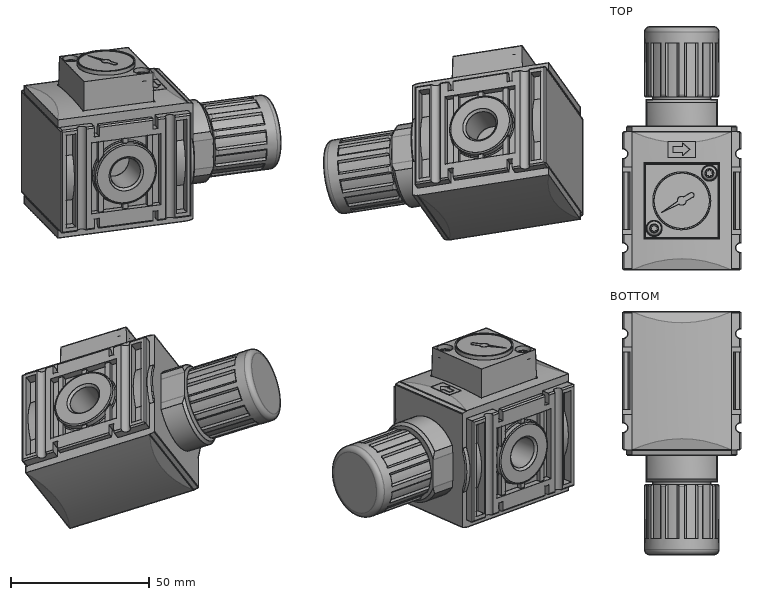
import cadquery as cq
import math


front_y = -25.0
flange_rear_y = 25.0
rear_y = 27.0
core_half_width = 18.0
crown_z = 24.08
crown_rise = 1.08
end_slope = math.tan(math.radians(15))
barrel_dia = 40.0
barrel_chamfer = 0.4
core_rear_chamfer = 0.2
seam_width = 0.3
seam_depth = 0.15
side_z = crown_z - crown_rise
slope_run = crown_rise / end_slope

label_length = 9.9
label_rear_y = 21.5
label_front_y = 15.7
label_relief = 0.1
arrow_tail_x = -3.15
arrow_neck_x = 0.3
arrow_tip_x = 2.9
arrow_shaft_half = 1.1
arrow_head_half = 2.3

flange_x = 21.5
flange_half_height = 20.0
flange_chamfer = 0.55
front_chamfer = 0.5
groove_radius = 1.75
groove_axis_y = 17.0
groove_axis_inset = 0.2
groove_axis_x = flange_x - groove_axis_inset
side_slot_inner_y = 19.4
rear_slot_outer_y = 23.3
front_slot_outer_y = 23.05
side_slot_half_height = 18.05
notch_inner_y = 10.35
notch_outer_y = 12.25
notch_floor_z = 16.0
gap_top_x = 19.4
gap_floor_x = 18.67

window_half_width = 13.3
window_half_height = 13.8
window_floor_x = 19.0
rib_top_x = 20.8
rib_inner_y = 8.5
rib_outer_y = 10.4
middle_rib_width = 1.9
port_boss_dia = 23.5
port_face_dia = 22.4
port_foot_dia = 24.4
port_face_chamfer = 0.3
port_foot_height = 0.35
port_bore_dia = 11.45
port_mouth_dia = 13.2
port_depth = 13.0

collar_dia = 30.2
collar_end_y = 36.6
collar_across_flats = 25.8
collar_chamfer = 1.05
collar_flat_half = 5.45
corner_flat_tilt = 6.0

knob_dia = 27.0
knob_start_y = 37.5
knob_end_y = 63.0
knob_neck_dia = 21.0
knob_end_fillet = 2.0
knob_start_fillet = 0.8
grip_count = 12
grip_end_y = 57.1
grip_floor_dia = 25.6
grip_rib_half_angle = 4.2
grip_floor_half_angle = 7.4

gauge_seat_z = 20.0
gauge_top_z = 34.5
gauge_seat_side = 27.0
gauge_top_side = 26.4
gauge_pocket_length_x = 27.4
gauge_pocket_length_y = 27.6
dial_dia = 21.0
dial_face_dia = 20.0
dial_top_z = 36.0
dial_recess = 0.25
needle_height = 0.1
needle_angle = 30.0
needle_hub_radius = 1.6
needle_length = 8.5
needle_root_half = 0.7
needle_tail_radius = 0.9
needle_tail_length = 4.1
screw_offset = 10.0
screw_hole_dia = 5.8
screw_hole_depth = 3.0
screw_head_dia = 5.3
screw_head_flat_dia = 3.2
screw_rim_height = 0.4
screw_head_height = 1.9
socket_core_dia = 2.0
socket_lobe_dia = 0.7
socket_lobe_count = 6
socket_depth = 1.0


def block(x_range, y_range, z_range):
    """Box given by its lower and upper limits along the three axes."""
    limits = (x_range, y_range, z_range)
    sizes = [high - low for low, high in limits]
    corner = cq.Vector(*[low for low, high in limits])
    return cq.Workplane(cq.Solid.makeBox(*sizes, pnt=corner))


def y_cylinder(diameter, start_y, end_y):
    """Cylinder on the adjusting axis."""
    axis = cq.Vector(0, 1, 0)
    return cq.Workplane(cq.Solid.makeCylinder(diameter / 2, end_y - start_y, cq.Vector(0, start_y, 0), axis))


def both_sides(body):
    """The body together with its mirror image across the YZ plane."""
    return body.union(body.mirror("YZ"))


def above_and_below(body):
    """The body together with its mirror image across the XY plane."""
    return body.union(body.mirror("XY"))


def housing_core():
    """Block with crowned top and bottom whose ends slope down, plus the inner barrel."""
    crowned = (
        cq.Workplane("XZ", origin=(0, rear_y, 0))
        .moveTo(-core_half_width, -side_z)
        .threePointArc((0, -crown_z), (core_half_width, -side_z))
        .lineTo(core_half_width, side_z)
        .threePointArc((0, crown_z), (-core_half_width, side_z))
        .close()
        .extrude(rear_y - front_y)
    )
    label_pad = block(
        (-label_length / 2, label_length / 2), (label_front_y, label_rear_y), (side_z, crown_z)
    )
    rear_z = side_z - (rear_y - flange_rear_y) * end_slope
    upper = [
        (front_y, side_z),
        (front_y + slope_run, crown_z),
        (flange_rear_y - slope_run, crown_z),
        (rear_y, rear_z),
    ]
    lower = [(y, -z) for y, z in reversed(upper)]
    side_outline = (
        cq.Workplane("YZ", origin=(-core_half_width, 0, 0))
        .polyline(upper + lower)
        .close()
        .extrude(2 * core_half_width)
    )
    core = crowned.intersect(side_outline)
    core = core.faces(">Y").edges("|X").chamfer(core_rear_chamfer)
    core = core.union(label_pad)
    barrel = y_cylinder(barrel_dia, front_y + flange_chamfer, rear_y).faces(">Y").chamfer(barrel_chamfer)
    return core.union(barrel)


def label_arrow():
    """Flow arrow sunk into the label pad."""
    middle_y = (label_front_y + label_rear_y) / 2
    outline = [
        (arrow_tail_x, arrow_shaft_half),
        (arrow_neck_x, arrow_shaft_half),
        (arrow_neck_x, arrow_head_half),
        (arrow_tip_x, 0),
        (arrow_neck_x, -arrow_head_half),
        (arrow_neck_x, -arrow_shaft_half),
        (arrow_tail_x, -arrow_shaft_half),
    ]
    return (
        cq.Workplane("XY", origin=(0, middle_y, crown_z - label_relief))
        .polyline(outline)
        .close()
        .extrude(2 * label_relief)
    )


def flange_plate():
    """Plate across the port sides, with clamp slots and notches, before the core is added."""
    plate = block(
        (-flange_x, flange_x), (front_y, flange_rear_y), (-flange_half_height, flange_half_height)
    )
    plate = plate.faces("<X or >X").chamfer(flange_chamfer)
    for y_range in [(side_slot_inner_y, rear_slot_outer_y), (-front_slot_outer_y, -side_slot_inner_y)]:
        slot = block(
            (core_half_width, flange_x), y_range, (-side_slot_half_height, side_slot_half_height)
        )
        plate = plate.cut(both_sides(slot))
    for y_range in [(notch_inner_y, notch_outer_y), (-notch_outer_y, -notch_inner_y)]:
        notch = block((core_half_width, flange_x), y_range, (notch_floor_z, flange_half_height))
        plate = plate.cut(above_and_below(both_sides(notch)))
    return plate


def clearance_gap():
    """Tapered gap between the middle of a flange plate and the core."""
    outline = [
        (core_half_width, notch_floor_z),
        (gap_floor_x, notch_floor_z),
        (gap_top_x, flange_half_height),
        (core_half_width, flange_half_height),
    ]
    gap = (
        cq.Workplane("XZ", origin=(0, notch_inner_y, 0)).polyline(outline).close().extrude(2 * notch_inner_y)
    )
    return above_and_below(both_sides(gap))


def front_edge_cut():
    """Chamfer along the front edges of the flange plate, running across the whole width."""
    outline = [
        (front_y, flange_half_height - front_chamfer),
        (front_y, flange_half_height),
        (front_y + front_chamfer, flange_half_height),
    ]
    wedge = (
        cq.Workplane("YZ", origin=(-flange_x, 0, 0)).polyline(outline).close().extrude(2 * flange_x)
    )
    return above_and_below(wedge)


def vertical_grooves():
    """Round grooves running the full height of both flanges."""
    places = [(x, y) for x in (-groove_axis_x, groove_axis_x) for y in (-groove_axis_y, groove_axis_y)]
    return (
        cq.Workplane("XY", origin=(0, 0, -flange_half_height))
        .pushPoints(places)
        .circle(groove_radius)
        .extrude(2 * flange_half_height)
    )


def port_recess():
    """Window sunk into the +X flange, leaving its ribs and the port boss standing."""
    height = (-window_half_height, window_half_height)
    recess = block((window_floor_x, flange_x), (-window_half_width, window_half_width), height)
    for y_range in [
        (-rib_outer_y, -rib_inner_y),
        (-middle_rib_width / 2, middle_rib_width / 2),
        (rib_inner_y, rib_outer_y),
    ]:
        recess = recess.cut(block((window_floor_x, rib_top_x), y_range, height))
    boss = (
        cq.Workplane("XY")
        .moveTo(window_floor_x, 0)
        .lineTo(window_floor_x, port_foot_dia / 2)
        .lineTo(window_floor_x + port_foot_height, port_boss_dia / 2)
        .lineTo(flange_x - port_face_chamfer, port_boss_dia / 2)
        .lineTo(flange_x, port_face_dia / 2)
        .lineTo(flange_x, 0)
        .close()
        .revolve(360, (0, 0, 0), (1, 0, 0))
    )
    return recess.cut(boss)


def port_bore():
    """Blind port on the +X side with a countersunk mouth."""
    mouth_depth = (port_mouth_dia - port_bore_dia) / 2
    return (
        cq.Workplane("XY")
        .moveTo(flange_x - port_depth, 0)
        .lineTo(flange_x - port_depth, port_bore_dia / 2)
        .lineTo(flange_x - mouth_depth, port_bore_dia / 2)
        .lineTo(flange_x, port_mouth_dia / 2)
        .lineTo(flange_x, 0)
        .close()
        .revolve(360, (0, 0, 0), (1, 0, 0))
    )


def collar():
    """Round collar with a wide flat on each side and a narrow tilted flat beside it."""
    body = y_cylinder(collar_dia, rear_y, collar_end_y).faces(">Y").chamfer(collar_chamfer)
    half_flats = collar_across_flats / 2
    tilt = math.tan(math.radians(corner_flat_tilt))
    top_x = half_flats - (collar_dia / 2 - collar_flat_half) * tilt
    right_side = [(top_x, -collar_dia / 2), (half_flats, -collar_flat_half)]
    right_side += [(x, -z) for x, z in reversed(right_side)]
    left_side = [(-x, -z) for x, z in right_side]
    envelope = (
        cq.Workplane("XZ", origin=(0, collar_end_y, 0))
        .polyline(right_side + left_side)
        .close()
        .extrude(collar_end_y - rear_y)
    )
    return body.intersect(envelope)


def seam_groove():
    """Fine V groove across the sloping rear faces, in line with the rear of the flanges."""
    outline = [
        (flange_rear_y - seam_width / 2, side_z + seam_width / 2 * end_slope),
        (flange_rear_y, side_z - seam_depth),
        (flange_rear_y + seam_width / 2, side_z - seam_width / 2 * end_slope),
    ]
    groove = (
        cq.Workplane("YZ", origin=(-core_half_width, 0, 0))
        .polyline(outline)
        .close()
        .extrude(2 * core_half_width)
    )
    return above_and_below(groove)


def gauge_pocket():
    """Straight-walled pocket that takes the foot of the gauge."""
    return (
        cq.Workplane("XY", origin=(0, 0, gauge_seat_z))
        .rect(gauge_pocket_length_x, gauge_pocket_length_y)
        .extrude(crown_z - gauge_seat_z)
    )


def make_housing():
    housing = flange_plate().union(housing_core())
    housing = housing.cut(vertical_grooves()).cut(clearance_gap()).cut(front_edge_cut())
    housing = housing.cut(both_sides(port_recess())).cut(both_sides(port_bore()))
    housing = housing.cut(label_arrow()).cut(seam_groove()).union(collar())
    return housing.cut(gauge_pocket())


def grip_pocket():
    """Shallow pocket between two grip ribs, with flared side walls, centred above the axis."""
    pitch = 360 / grip_count

    def polar(radius, angle):
        return (radius * math.sin(math.radians(angle)), radius * math.cos(math.radians(angle)))

    rim_angle = pitch / 2 - grip_rib_half_angle
    floor_angle = pitch / 2 - grip_floor_half_angle
    rim_radius = knob_dia / 2
    floor_radius = grip_floor_dia / 2
    return (
        cq.Workplane("XZ", origin=(0, grip_end_y, 0))
        .moveTo(*polar(floor_radius, -floor_angle))
        .threePointArc(polar(floor_radius, 0), polar(floor_radius, floor_angle))
        .lineTo(*polar(rim_radius, rim_angle))
        .threePointArc(polar(rim_radius, 0), polar(rim_radius, -rim_angle))
        .close()
        .extrude(grip_end_y - knob_start_y)
    )


def make_knob():
    knob = y_cylinder(knob_dia, knob_start_y, knob_end_y)
    knob = knob.faces(">Y").edges().fillet(knob_end_fillet).faces("<Y").edges().fillet(knob_start_fillet)
    pitch = 360 / grip_count
    for index in range(grip_count):
        angle = (index + 0.5) * pitch
        knob = knob.cut(grip_pocket().rotate((0, 0, 0), (0, 1, 0), angle))
    return knob.union(y_cylinder(knob_neck_dia, collar_end_y, knob_start_y))


def gauge_needle():
    """Pointer with a round hub and a rounded tail, lying on the dial face."""
    plane = cq.Workplane("XY", origin=(0, 0, dial_top_z - dial_recess))
    hub = plane.circle(needle_hub_radius).extrude(needle_height)
    point = (
        plane.polyline([(0, needle_root_half), (-needle_length, 0), (0, -needle_root_half)])
        .close()
        .extrude(needle_height)
    )
    tail = (
        plane.moveTo(0, needle_tail_radius)
        .lineTo(needle_tail_length, needle_tail_radius)
        .threePointArc(
            (needle_tail_length + needle_tail_radius, 0), (needle_tail_length, -needle_tail_radius)
        )
        .lineTo(0, -needle_tail_radius)
        .close()
        .extrude(needle_height)
    )
    return hub.union(point).union(tail).rotate((0, 0, 0), (0, 0, 1), needle_angle)


def screw_head():
    """Domed screw head with a lobed socket, standing on the XY plane."""
    rim = screw_head_dia / 2
    flat = screw_head_flat_dia / 2
    bulge = (rim - flat) * math.sqrt(0.5)
    drop = screw_head_height - screw_rim_height
    head = (
        cq.Workplane("XZ")
        .lineTo(rim, 0)
        .lineTo(rim, screw_rim_height)
        .threePointArc(
            (flat + bulge, screw_rim_height + drop * math.sqrt(0.5)), (flat, screw_head_height)
        )
        .lineTo(0, screw_head_height)
        .close()
        .revolve(360, (0, 0, 0), (0, 1, 0))
    )
    socket_floor = cq.Workplane("XY", origin=(0, 0, screw_head_height - socket_depth))
    socket = socket_floor.circle(socket_core_dia / 2).extrude(socket_depth)
    lobes = (
        socket_floor.polarArray(socket_core_dia / 2, 90, 360, socket_lobe_count)
        .circle(socket_lobe_dia / 2)
        .extrude(socket_depth)
    )
    return head.cut(socket).cut(lobes)


def make_gauge():
    case = (
        cq.Workplane("XY", origin=(0, 0, gauge_seat_z))
        .rect(gauge_seat_side, gauge_seat_side)
        .workplane(offset=gauge_top_z - gauge_seat_z)
        .rect(gauge_top_side, gauge_top_side)
        .loft(combine=True)
    )
    dial = (
        cq.Workplane("XY", origin=(0, 0, gauge_top_z))
        .circle(dial_dia / 2)
        .extrude(dial_top_z - gauge_top_z)
    )
    dial = dial.faces(">Z").workplane().circle(dial_face_dia / 2).cutBlind(-dial_recess)
    gauge = case.union(dial).union(gauge_needle())
    hole_floor_z = gauge_top_z - screw_hole_depth
    for offset in (-screw_offset, screw_offset):
        hole = (
            cq.Workplane("XY", origin=(offset, offset, hole_floor_z))
            .circle(screw_hole_dia / 2)
            .extrude(screw_hole_depth)
        )
        gauge = gauge.cut(hole).union(screw_head().translate((offset, offset, hole_floor_z)))
    return gauge


housing = make_housing()
knob = make_knob()
gauge = make_gauge()

result = cq.Compound.makeCompound([housing.val(), knob.val(), gauge.val()])